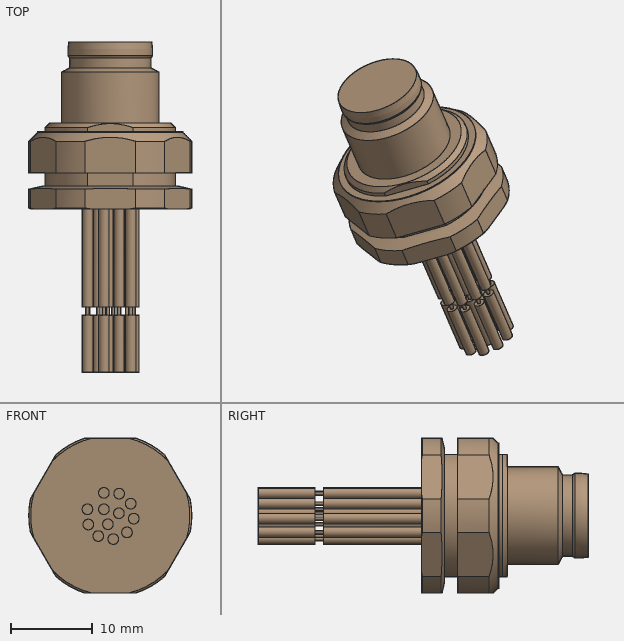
import cadquery as cq
import math


HEX_SIDES = 6
HEX_ACROSS_FLATS = 19.0
HEX_CORNER_DIAMETER = 20.0
FLANGE_THICKNESS = 2.85
FLANGE_FRONT_CHAMFER_RADIAL = 1.8
FLANGE_FRONT_CHAMFER_AXIAL = 0.42
FLANGE_REAR_CHAMFER_RADIAL = 0.25
FLANGE_REAR_CHAMFER_AXIAL = 0.14
NUT_REAR_Y = 4.45
NUT_THICKNESS = 5.05
NUT_CHAMFER = 1.08
NUT_LIP = 0.12

BODY_DIAMETER = 16.0
BODY_ACROSS_FLATS = 15.0
BODY_FRONT_Y = 10.55
BODY_CHAMFER = 0.57

BARREL_DIAMETER = 12.0
BARREL_FRONT_Y = 17.3
BARREL_SHOULDER_AXIAL = 0.53
NECK_DIAMETER = 10.0
COLLAR_DIAMETER = 10.4
COLLAR_TIP_DIAMETER = 10.2
COLLAR_REAR_Y = 18.5
COLLAR_REAR_TAPER = 0.23
COLLAR_EDGE_AXIAL = 0.1
COLLAR_EDGE_RADIAL = 0.05
COLLAR_FRONT_TAPER = 0.9
PLUG_FRONT_Y = 20.48

WIRE_DIAMETER = 1.3
CORE_DIAMETER = 0.42
WIRE_LENGTH = 20.0
STRIP_START = 12.0
STRIP_LENGTH = 1.0
CENTRE_ANGLE = -45.0
OUTER_RING_RADIUS = 2.9
OUTER_WIRE_COUNT = 9
OUTER_PITCH_ANGLE = 37.65
INNER_RING_RADIUS = 1.1
INNER_WIRE_COUNT = 3
INNER_PITCH_ANGLE = 360.0 / INNER_WIRE_COUNT


def revolved(profile):
    """Solid of revolution about Y from (radius, y) points, closed along the axis."""
    first_y = profile[0][1]
    last_y = profile[-1][1]
    points = [(0, first_y)] + profile + [(0, last_y)]
    return cq.Workplane("XY").polyline(points).close().revolve(360, (0, 0), (0, 1))


def cylinder(diameter, rear_y, length, x=0, z=0):
    """Cylinder along Y that starts at rear_y."""
    axis = cq.Vector(0, 1, 0)
    return cq.Workplane(cq.Solid.makeCylinder(diameter / 2, length, cq.Vector(x, rear_y, z), axis))


def hexagon(rear_y, length):
    """Hexagonal prism along Y with flats facing +Z and -Z."""
    across_corners = HEX_ACROSS_FLATS / math.cos(math.pi / HEX_SIDES)
    return (
        cq.Workplane("XZ", origin=(0, rear_y, 0))
        .polygon(HEX_SIDES, across_corners)
        .extrude(-length)
    )


def make_flange():
    radius = HEX_CORNER_DIAMETER / 2
    turned = revolved([
        (radius - FLANGE_REAR_CHAMFER_RADIAL, 0),
        (radius, FLANGE_REAR_CHAMFER_AXIAL),
        (radius, FLANGE_THICKNESS - FLANGE_FRONT_CHAMFER_AXIAL),
        (radius - FLANGE_FRONT_CHAMFER_RADIAL, FLANGE_THICKNESS),
    ])
    return turned.intersect(hexagon(0, FLANGE_THICKNESS))


def make_nut():
    radius = HEX_CORNER_DIAMETER / 2
    front_y = NUT_REAR_Y + NUT_THICKNESS
    turned = revolved([
        (radius, NUT_REAR_Y),
        (radius, front_y - NUT_LIP - NUT_CHAMFER),
        (radius - NUT_CHAMFER, front_y - NUT_LIP),
        (radius - NUT_CHAMFER, front_y),
    ])
    return turned.intersect(hexagon(NUT_REAR_Y, NUT_THICKNESS))


def make_body():
    radius = BODY_DIAMETER / 2
    turned = revolved([
        (radius, 0),
        (radius, BODY_FRONT_Y - BODY_CHAMFER),
        (radius - BODY_CHAMFER, BODY_FRONT_Y),
    ])
    slab = cq.Workplane("XY").box(BODY_DIAMETER, 2 * BODY_FRONT_Y, BODY_ACROSS_FLATS)
    return turned.intersect(slab)


def make_plug():
    barrel_radius = BARREL_DIAMETER / 2
    neck_radius = NECK_DIAMETER / 2
    collar_radius = COLLAR_DIAMETER / 2
    return revolved([
        (barrel_radius, 0),
        (barrel_radius, BARREL_FRONT_Y - BARREL_SHOULDER_AXIAL),
        (neck_radius, BARREL_FRONT_Y),
        (neck_radius, COLLAR_REAR_Y),
        (collar_radius - COLLAR_EDGE_RADIAL, COLLAR_REAR_Y + COLLAR_REAR_TAPER),
        (collar_radius, COLLAR_REAR_Y + COLLAR_REAR_TAPER + COLLAR_EDGE_AXIAL),
        (collar_radius, PLUG_FRONT_Y - COLLAR_FRONT_TAPER),
        (COLLAR_TIP_DIAMETER / 2, PLUG_FRONT_Y),
    ])


def make_wire(x, z):
    """Insulated wire with a short stretch of bare core."""
    tail_length = WIRE_LENGTH - STRIP_START - STRIP_LENGTH
    core = cylinder(CORE_DIAMETER, -WIRE_LENGTH, WIRE_LENGTH, x, z)
    root = cylinder(WIRE_DIAMETER, -STRIP_START, STRIP_START, x, z)
    tail = cylinder(WIRE_DIAMETER, -WIRE_LENGTH, tail_length, x, z)
    return core.union(root).union(tail)


def ring_positions(radius, count, pitch_angle):
    """(x, z) places on an arc that is centred on CENTRE_ANGLE."""
    positions = []
    for index in range(count):
        angle = math.radians(CENTRE_ANGLE + (index - (count - 1) / 2) * pitch_angle)
        positions.append((radius * math.cos(angle), radius * math.sin(angle)))
    return positions


wire_positions = ring_positions(OUTER_RING_RADIUS, OUTER_WIRE_COUNT, OUTER_PITCH_ANGLE)
for x, z in ring_positions(INNER_RING_RADIUS, INNER_WIRE_COUNT, INNER_PITCH_ANGLE):
    wire_positions.append((-x, -z))

result = make_flange().union(make_body()).union(make_nut()).union(make_plug())
for x, z in wire_positions:
    result = result.union(make_wire(x, z))